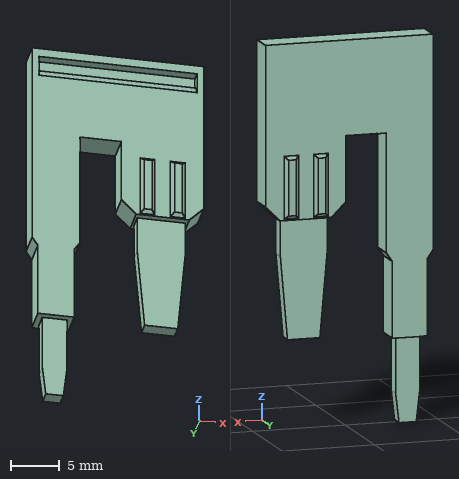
import cadquery as cq

height = 40.95
width = 18.15
overall_thickness = 3.75
body_thickness = 3.03
left = -width / 2
right = width / 2

leg_width = 5.08
leg_step_top = height - 22.75
leg_step_bottom = height - 23.65
leg_step_inset = 0.6
leg_bottom = height - 31.8

gap_top = height - 10.1
short_leg_left = left + 9.4
short_leg_bottom = height - 18.62
short_leg_chamfer = 1.55

contact_thickness = 1.6
pin_width = 2.6
pin_tip_width = 1.9
pin_taper_top = height - 37.75
blade_width = 5.08
blade_tip_width = 3.5
blade_taper_top = height - 22.5
blade_bottom = height - 31.4
leg_center = left + leg_width / 2
blade_center = (short_leg_left + right) / 2

rib_height = (overall_thickness - body_thickness) / 2
rib_bevel = 0.35
rib_top = height - 11.83
rib_bottom = height - 18.45
rib_width = 1.55
rib_offsets = (11.38, 14.57)

groove_margin = 0.75
groove_top = height - 1.0
groove_ledge = height - 2.35
groove_bottom = height - 3.25
groove_slope_depth = 0.6
groove_depth = 1.05


def prism(points, thickness):
    """Extrude an XZ outline symmetrically about the middle plane."""
    return cq.Workplane("XZ").polyline(points).close().extrude(thickness / 2, both=True)


def make_body():
    leg_right = left + leg_width
    return prism(
        [
            (left, height),
            (right, height),
            (right, short_leg_bottom + short_leg_chamfer),
            (right - short_leg_chamfer, short_leg_bottom),
            (short_leg_left + short_leg_chamfer, short_leg_bottom),
            (short_leg_left, short_leg_bottom + short_leg_chamfer),
            (short_leg_left, gap_top),
            (leg_right, gap_top),
            (leg_right, leg_step_top),
            (leg_right - leg_step_inset, leg_step_bottom),
            (leg_right - leg_step_inset, leg_bottom),
            (left + leg_step_inset, leg_bottom),
            (left + leg_step_inset, leg_step_bottom),
            (left, leg_step_top),
        ],
        body_thickness,
    )


def make_contact(center, top, taper_top, bottom, full_width, tip_width):
    return prism(
        [
            (center - full_width / 2, top),
            (center + full_width / 2, top),
            (center + full_width / 2, taper_top),
            (center + tip_width / 2, bottom),
            (center - tip_width / 2, bottom),
            (center - full_width / 2, taper_top),
        ],
        contact_thickness,
    )


def make_rib(offset):
    """Bevelled rib standing on the front face."""
    length = rib_top - rib_bottom
    return (
        cq.Workplane("XZ", origin=(0, -body_thickness / 2, 0))
        .center(left + offset + rib_width / 2, (rib_top + rib_bottom) / 2)
        .rect(rib_width, length)
        .workplane(offset=rib_height)
        .rect(rib_width - 2 * rib_bevel, length - 2 * rib_bevel)
        .loft(ruled=True)
    )


def make_groove():
    front = -body_thickness / 2
    profile = [
        (front, groove_top),
        (front + groove_depth, groove_top),
        (front + groove_depth, groove_ledge),
        (front + groove_slope_depth, groove_ledge),
        (front, groove_bottom),
    ]
    half_length = width / 2 - groove_margin
    return cq.Workplane("YZ").polyline(profile).close().extrude(half_length, both=True)


result = make_body().cut(make_groove())
result = result.union(
    make_contact(leg_center, leg_bottom, pin_taper_top, 0, pin_width, pin_tip_width)
)
result = result.union(
    make_contact(
        blade_center, short_leg_bottom, blade_taper_top, blade_bottom, blade_width, blade_tip_width
    )
)
for rib_offset in rib_offsets:
    rib = make_rib(rib_offset)
    result = result.union(rib).union(rib.mirror("XZ"))